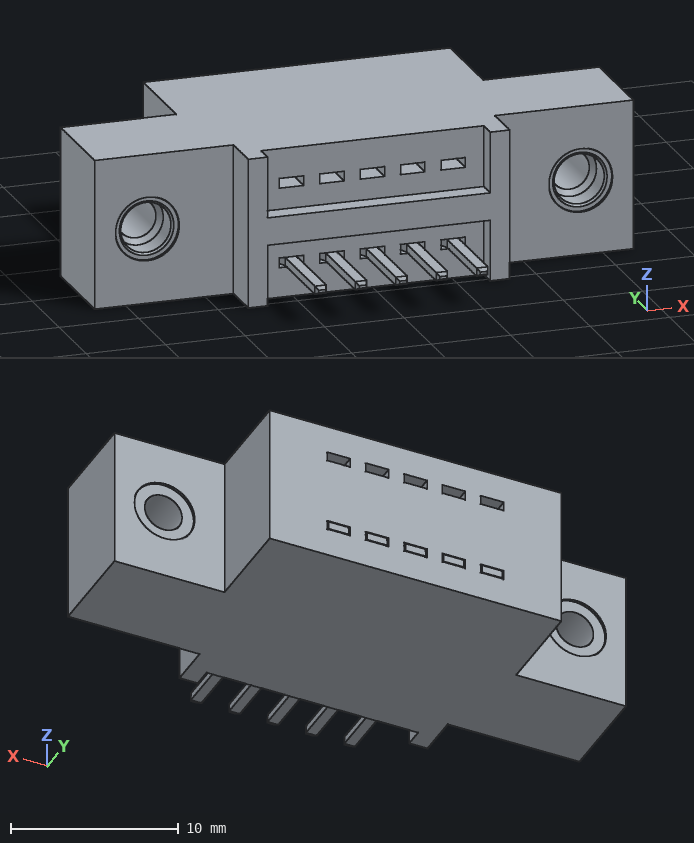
import cadquery as cq

HEIGHT = 9.4
FLANGE_LENGTH = 33.9
FLANGE_FRONT = 2.75
FLANGE_BACK = 9.1
BLOCK_LENGTH = 19.33
BLOCK_BACK = 15.23
NOSE_LENGTH = 16.45

RECESS_LENGTH = 14.0
RECESS_DEPTH = 1.22
WEB_HEIGHT = 1.73

CONTACT_COUNT = 5
PITCH = 2.55
ROW_OFFSET = 2.5
SLOT_WIDTH = 1.53
SLOT_HEIGHT = 0.6

PIN_WIDTH = 0.7
PIN_THICKNESS = 0.5
PIN_PROTRUSION = 4.45
TIP_LENGTH = 0.3
TIP_SIDE_INSET = 0.15
TIP_FACE_INSET = 0.17
BLADE_WIDTH = 1.32
SHOULDER_SETBACK = 0.1
SHOULDER_LENGTH = 0.68

MOUNT_OFFSET = 13.63
BUSHING_DIAMETER = 4.0
BUSHING_SETBACK = 0.17
CHAMFER_DIAMETER = 3.42
MOUTH_DIAMETER = 3.15
CHAMFER_DEPTH = 0.15
BORE_DIAMETER = 2.48
MOUTH_DEPTH = 1.55
TAPER_LENGTH = 0.35

contact_xs = [(i - (CONTACT_COUNT - 1) / 2) * PITCH for i in range(CONTACT_COUNT)]


def block(length, y_front, y_back, height, z_centre=0.0):
    """Box centred on X = 0 between two Y positions."""
    return (
        cq.Workplane("XY")
        .box(length, y_back - y_front, height, centered=(True, False, True))
        .translate((0, y_front, z_centre))
    )


def make_housing():
    flange = block(FLANGE_LENGTH, FLANGE_FRONT, FLANGE_BACK, HEIGHT)
    mating_block = block(BLOCK_LENGTH, FLANGE_FRONT, BLOCK_BACK, HEIGHT)
    nose = block(NOSE_LENGTH, 0, FLANGE_BACK, HEIGHT)
    housing = flange.union(mating_block).union(nose)

    recess_height = (HEIGHT - WEB_HEIGHT) / 2
    recess_centre = (HEIGHT + WEB_HEIGHT) / 4
    for side in (1, -1):
        housing = housing.cut(block(RECESS_LENGTH, 0, RECESS_DEPTH, recess_height, side * recess_centre))
        for x in contact_xs:
            slot = block(SLOT_WIDTH, 0, BLOCK_BACK, SLOT_HEIGHT, side * ROW_OFFSET)
            housing = housing.cut(slot.translate((x, 0, 0)))
        mount_hole = (
            cq.Workplane("XZ", origin=(side * MOUNT_OFFSET, 0, 0))
            .circle(BUSHING_DIAMETER / 2)
            .extrude(-BLOCK_BACK)
        )
        housing = housing.cut(mount_hole)
    return housing


def make_pin(x):
    """Flat rectangular pin with a tapered tip, widening behind sloped shoulders into a flat blade."""
    tip_base_y = TIP_LENGTH - PIN_PROTRUSION
    shoulder_y = RECESS_DEPTH + SHOULDER_SETBACK
    blade_y = shoulder_y + SHOULDER_LENGTH
    half_pin = PIN_WIDTH / 2
    half_blade = BLADE_WIDTH / 2
    body = (
        cq.Workplane("XY")
        .polyline(
            [
                (-half_pin, tip_base_y),
                (half_pin, tip_base_y),
                (half_pin, shoulder_y),
                (half_blade, blade_y),
                (half_blade, BLOCK_BACK),
                (-half_blade, BLOCK_BACK),
                (-half_blade, blade_y),
                (-half_pin, shoulder_y),
            ]
        )
        .close()
        .extrude(PIN_THICKNESS / 2, both=True)
    )
    tip = (
        cq.Workplane("XZ", origin=(0, tip_base_y, 0))
        .rect(PIN_WIDTH, PIN_THICKNESS)
        .workplane(offset=TIP_LENGTH)
        .rect(PIN_WIDTH - 2 * TIP_SIDE_INSET, PIN_THICKNESS - 2 * TIP_FACE_INSET)
        .loft()
    )
    return body.union(tip).translate((x, 0, -ROW_OFFSET))


def make_bushing(x):
    """Sleeve whose bore has a chamfered, wider mouth tapering down to the through diameter."""
    front = FLANGE_FRONT + BUSHING_SETBACK
    back = FLANGE_BACK - BUSHING_SETBACK
    taper_front = front + MOUTH_DEPTH
    return (
        cq.Workplane("XY")
        .polyline(
            [
                (BUSHING_DIAMETER / 2, front),
                (CHAMFER_DIAMETER / 2, front),
                (MOUTH_DIAMETER / 2, front + CHAMFER_DEPTH),
                (MOUTH_DIAMETER / 2, taper_front),
                (BORE_DIAMETER / 2, taper_front + TAPER_LENGTH),
                (BORE_DIAMETER / 2, back),
                (BUSHING_DIAMETER / 2, back),
            ]
        )
        .close()
        .revolve(360, (0, 0, 0), (0, 1, 0))
        .translate((x, 0, 0))
    )


housing = make_housing()
pins = [make_pin(x) for x in contact_xs]
bushings = [make_bushing(side * MOUNT_OFFSET) for side in (-1, 1)]

result = cq.Compound.makeCompound(
    [housing.val(), *[pin.val() for pin in pins], *[bushing.val() for bushing in bushings]]
)